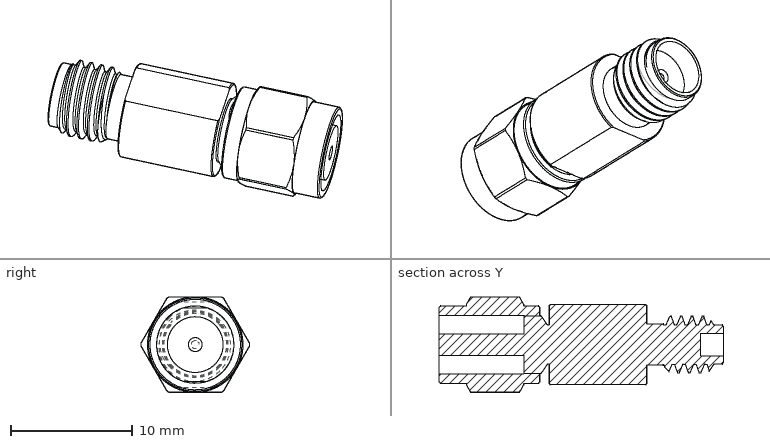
import cadquery as cq
import math


LENGTH = 23.5
THREAD_START = 0.8
THREAD_END = 4.98
BARREL_START = 6.32
BARREL_END = 14.4
SHOULDER_CONE_START = 14.55
NUT_START = 15.15
HEX_START = 16.5
HEX_END = 21.25

SOCKET_RADIUS = 2.3
SOCKET_DEPTH = 1.88
SPIGOT_RADIUS = 2.68
RELIEF_RADIUS = 2.73
SPIGOT_CHAMFER = 0.1
BARREL_RADIUS = 3.95
BARREL_FLAT_HEIGHT = 7.05
BARREL_CHAMFER = 0.1
SHOULDER_RADIUS = 3.2
SHOULDER_FLAT_HEIGHT = 6.06

THREAD_RADIUS = 3.17
THREAD_PITCH = 0.9
THREAD_ORIGIN = 0.25
RIDGE_BASE_WIDTH = 0.75
RIDGE_CREST_WIDTH = 0.15
RIDGE_SINK = 0.05
LEAD_IN_LENGTH = 0.5
RUN_OUT_LENGTH = 0.59

CONTACT_DIAMETER = 1.15
CONTACT_RADIUS = CONTACT_DIAMETER / 2
DIMPLE_FLOOR_RADIUS = 0.33
DIMPLE_DEPTH = 0.24

NUT_RADIUS = 3.85
NUT_CHAMFER = 0.12
HEX_ACROSS_FLATS = 7.9
HEX_ACROSS_CORNERS = 9.0
HEX_CHAMFER_LENGTH = 0.35


def cylinder(start, end, radius):
    """A solid cylinder on the X axis."""
    return cq.Workplane("YZ", origin=(start, 0, 0)).circle(radius).extrude(end - start)


def revolve_about_x(profile):
    """Turn a closed (x, radius) outline about the X axis."""
    return cq.Workplane("XY").polyline(profile).close().revolve(360, (0, 0, 0), (1, 0, 0))


def with_flats(body, start, end, height):
    """Trim a round body to a pair of flats facing +Z and -Z."""
    width = 4 * BARREL_RADIUS
    slab = cq.Workplane("XY").box(end - start, width, height).translate(((start + end) / 2, 0, 0))
    return body.intersect(slab)


def make_thread():
    """Right-handed helical ridge, tapered by a cone at both ends of the thread."""
    root = SPIGOT_RADIUS - RIDGE_SINK
    turns = math.ceil((THREAD_END + THREAD_PITCH - THREAD_ORIGIN) / THREAD_PITCH)
    helix = cq.Wire.makeHelix(THREAD_PITCH, turns * THREAD_PITCH, root)
    ridge = (
        cq.Workplane("XZ")
        .polyline([
            (root, -RIDGE_BASE_WIDTH / 2),
            (THREAD_RADIUS, -RIDGE_CREST_WIDTH / 2),
            (THREAD_RADIUS, RIDGE_CREST_WIDTH / 2),
            (root, RIDGE_BASE_WIDTH / 2),
        ])
        .close()
        .sweep(cq.Workplane(obj=helix), isFrenet=True)
        .rotate((0, 0, 0), (0, 1, 0), 90)
        .translate((THREAD_ORIGIN, 0, 0))
    )
    tapered_blank = revolve_about_x([
        (THREAD_START, 0),
        (THREAD_START, SPIGOT_RADIUS),
        (THREAD_START + 2 * LEAD_IN_LENGTH, 2 * THREAD_RADIUS - SPIGOT_RADIUS),
        (THREAD_END - 2 * RUN_OUT_LENGTH, 2 * THREAD_RADIUS - RELIEF_RADIUS),
        (THREAD_END, RELIEF_RADIUS),
        (THREAD_END, 0),
    ])
    return ridge.intersect(tapered_blank)


def make_barrel():
    barrel = cylinder(BARREL_START, BARREL_END, BARREL_RADIUS).edges().chamfer(BARREL_CHAMFER)
    return with_flats(barrel, BARREL_START, BARREL_END, BARREL_FLAT_HEIGHT)


def make_shoulder():
    """Coned shoulder with two flats, reaching into the rear wall of the nut."""
    cone_length = SHOULDER_RADIUS - SPIGOT_RADIUS
    shoulder = revolve_about_x([
        (BARREL_END, 0),
        (BARREL_END, SPIGOT_RADIUS),
        (SHOULDER_CONE_START, SPIGOT_RADIUS),
        (SHOULDER_CONE_START + cone_length, SHOULDER_RADIUS),
        (HEX_START, SHOULDER_RADIUS),
        (HEX_START, 0),
    ])
    return with_flats(shoulder, BARREL_END, HEX_START, SHOULDER_FLAT_HEIGHT)


def make_housing():
    spigot = cylinder(0, THREAD_END, SPIGOT_RADIUS).faces("<X").edges().chamfer(SPIGOT_CHAMFER)
    relief = cylinder(THREAD_END, BARREL_START, RELIEF_RADIUS)
    plug = cylinder(HEX_START, LENGTH, SOCKET_RADIUS)
    outside = spigot.union(make_thread()).union(relief).union(make_barrel())
    outside = outside.union(make_shoulder()).union(plug)
    socket = cylinder(0, SOCKET_DEPTH, SOCKET_RADIUS)
    contact_bore = cylinder(SOCKET_DEPTH, LENGTH, CONTACT_RADIUS)
    return outside.cut(socket).cut(contact_bore)


def make_contact():
    """Centre rod with a tapered, flat-bottomed dimple in its socket end."""
    return revolve_about_x([
        (SOCKET_DEPTH, CONTACT_RADIUS),
        (LENGTH, CONTACT_RADIUS),
        (LENGTH, 0),
        (SOCKET_DEPTH + DIMPLE_DEPTH, 0),
        (SOCKET_DEPTH + DIMPLE_DEPTH, DIMPLE_FLOOR_RADIUS),
    ])


def make_nut():
    sleeve = cylinder(NUT_START, LENGTH, NUT_RADIUS).edges().chamfer(NUT_CHAMFER)
    sharp_across_corners = HEX_ACROSS_FLATS / math.cos(math.pi / 6)
    hexagon = (
        cq.Workplane("YZ", origin=(HEX_START, 0, 0))
        .polygon(6, sharp_across_corners)
        .extrude(HEX_END - HEX_START)
    )
    turned_blank = revolve_about_x([
        (HEX_START, 0),
        (HEX_START, HEX_ACROSS_FLATS / 2),
        (HEX_START + HEX_CHAMFER_LENGTH, HEX_ACROSS_CORNERS / 2),
        (HEX_END - HEX_CHAMFER_LENGTH, HEX_ACROSS_CORNERS / 2),
        (HEX_END, HEX_ACROSS_FLATS / 2),
        (HEX_END, 0),
    ])
    bore = cylinder(NUT_START, LENGTH, SHOULDER_RADIUS)
    return sleeve.union(hexagon.intersect(turned_blank)).cut(bore)


housing = make_housing()
contact = make_contact()
nut = make_nut()

result = cq.Compound.makeCompound([housing.val(), contact.val(), nut.val()])